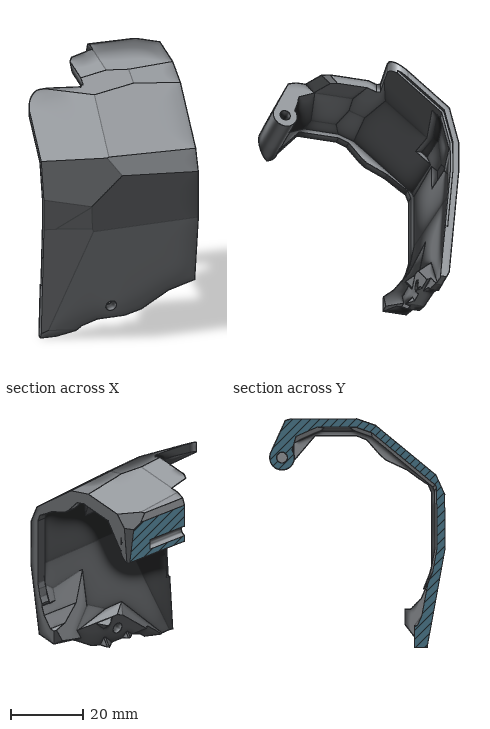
import cadquery as cq
import math

LENGTH_X = 49.47
LENGTH_Y = 44.05
LENGTH_Z = 70.38
HINGE_RADIUS = 3.45
HINGE_BORE = 2.95
HINGE_BORE_DEPTH = 12.0
X_MIN = -HINGE_RADIUS
X_MAX = X_MIN + LENGTH_X
Z_MAX = 11.03
Z_MIN = Z_MAX - LENGTH_Z
Y_FRONT = -LENGTH_Y

WALL = 2.35
BROW_WALL = 1.4
HINGE_LENGTH = 19.7
REAR_RIB_DEPTH = 2.4
FRONT_REBATE_DEPTH = 0.95
FRONT_REBATE_WIDTH = 0.7
FRONT_REBATE_BOTTOM = -43.0
POCKET_DEPTH = 1.1

TAB_FACE_X = 36.75
TAB_FOOT_X = 37.55
TAB_LOW_Z = -55.05
TAB_TOP_Z = -46.85
TAB_TOP_SLOPE = 0.45
TAB_REAR_Y = -9.5
TAB_HOLE_DIAMETER = 3.06
TAB_HOLE_Y = -24.1
TAB_HOLE_Z = -51.2

STOP_X = 34.1
STOP_PEAK = (41.8, -15.75, -31.6)

FAR = 150.0
INSIDE = cq.Vector(20.0, -15.0, -15.0)

CREST_FRONT = (20.0, -HINGE_LENGTH, Z_MAX)
CREST_LEFT = (3.2, -HINGE_LENGTH, Z_MAX)
CREST_REAR = (20.7, -13.4, 10.8)
TOP_REAR = (18.2, 0.0, 10.3)
TOP_NOSE = (21.6, -27.6, 10.4)
SHOULDER_MID = (26.0, -13.4, 8.95)
SHOULDER_FRONT = (28.5, -25.45, 8.06)
BROW_FRONT = (43.45, -25.45, -4.24)
BROW_NOSE = (40.3, Y_FRONT, -4.67)
BROW_REAR = (42.15, 0.0, -5.94)
CHEEK_TOP = (45.55, -22.3, -9.44)
CHEEK_REAR = (44.7, 0.0, -25.35)
CHEEK_FRONT = (X_MAX, -30.9, -25.35)
CHEEK_FRONT_MID = (X_MAX, -30.9, -24.4)
CHEEK_FRONT_HIGH = (X_MAX, -30.9, -17.65)
NOSE_HIGH = (43.0, Y_FRONT, -15.3)
NOSE_LOW = (43.0, Y_FRONT, -25.1)
NOSE_SIDE = (43.62, -41.6, -24.8)
NOSE_BOTTOM = (40.35, Y_FRONT, -56.9)
JAW_FRONT = (40.8, -42.0, -56.6)
JAW_REAR = (40.8, 0.0, -56.6)
JAW_TIP = (39.4, 0.0, Z_MIN)

SHELL_FACETS = [
    (CREST_FRONT, CREST_LEFT, TOP_REAR),
    (CREST_FRONT, CREST_LEFT, TOP_NOSE),
    (CREST_FRONT, CREST_REAR, SHOULDER_FRONT),
    (CREST_REAR, SHOULDER_MID, TOP_REAR),
    (SHOULDER_MID, SHOULDER_FRONT, BROW_FRONT),
    (SHOULDER_FRONT, BROW_FRONT, BROW_NOSE),
    (CHEEK_TOP, CHEEK_REAR, CHEEK_FRONT),
    (CHEEK_FRONT_HIGH, BROW_NOSE, NOSE_HIGH),
    (CHEEK_FRONT_HIGH, NOSE_HIGH, NOSE_SIDE),
    (CHEEK_FRONT_HIGH, CHEEK_FRONT_MID, NOSE_SIDE),
    (CHEEK_FRONT_MID, NOSE_LOW, NOSE_BOTTOM),
    (CHEEK_REAR, CHEEK_FRONT, JAW_FRONT),
]

BROW_FACET = (BROW_FRONT, BROW_REAR, CHEEK_TOP)

ARM_SHOULDER = (0.88, 0.0, 10.3)
ARM_TANGENT = (-3.15, 0.0, 1.41)
ARM_CORNER_LOW = (X_MIN, -5.36, 0.0)
ARM_CORNER_REAR = (1.64, 0.0, 7.26)
ARM_CORNER_FRONT = (-0.8, -2.97, 6.73)
ARM_CORNER_TOP = (4.93, 0.0, 10.3)


def shift_y(point, y):
    """The point moved to another Y."""
    return (point[0], y, point[2])


TRIM_FACETS = [
    BROW_FACET,
    (ARM_TANGENT, ARM_SHOULDER, shift_y(ARM_SHOULDER, Y_FRONT)),
    (ARM_SHOULDER, shift_y(ARM_SHOULDER, Y_FRONT), CREST_LEFT),
    (ARM_CORNER_LOW, ARM_CORNER_REAR, ARM_CORNER_FRONT),
    (ARM_CORNER_REAR, ARM_CORNER_TOP, ARM_CORNER_FRONT),
    (JAW_FRONT, JAW_REAR, JAW_TIP),
]


def box_between(low, high):
    """Box with two opposite corners."""
    size = [end - start for start, end in zip(low, high)]
    return cq.Workplane("XY").box(*size, centered=False).translate(low)


def half_space(facet, inset=0.0, inside=INSIDE):
    """Large block under the plane of a facet, moved by inset towards the inside point."""
    a, b, c = [cq.Vector(*p) for p in facet]
    normal = (b - a).cross(c - a).normalized()
    if normal.dot(inside - a) > 0:
        normal = normal * -1
    plane = cq.Plane(origin=(a - normal * inset).toTuple(), normal=normal.toTuple())
    return cq.Workplane(plane).rect(4 * FAR, 4 * FAR).extrude(-2 * FAR)


def trim(body, facets, inset=0.0, inside=INSIDE):
    """The body cut back to every facet."""
    for facet in facets:
        body = body.intersect(half_space(facet, inset, inside))
    return body


def space(inset):
    """Volume under the facets, set in by inset (the brow facet by its own wall), open elsewhere."""
    block = trim(box_between((-FAR, -FAR, -FAR), (FAR, FAR, FAR)), SHELL_FACETS, inset)
    return trim(block, [BROW_FACET], BROW_WALL)


def along_y(points, y_low, y_high):
    """Prism with an XZ outline between two Y values."""
    return cq.Workplane("XZ", origin=(0, y_high, 0)).polyline(points).close().extrude(y_high - y_low)


def along_x(points, x_low, x_high):
    """Prism with a YZ outline between two X values."""
    return cq.Workplane("YZ", origin=(x_low, 0, 0)).polyline(points).close().extrude(x_high - x_low)


def polyhedron(points, faces):
    """Solid from corner points and lists of corner indices."""
    skins = []
    for face in faces:
        wire = cq.Wire.makePolygon([cq.Vector(*points[i]) for i in face], close=True)
        skins.append(cq.Face.makeFromWires(wire))
    return cq.Workplane(cq.Solid.makeSolid(cq.Shell.makeShell(skins)))


def outer_envelope():
    """Convex faceted outside of the guard, as a full solid."""
    block = box_between((X_MIN, Y_FRONT, Z_MIN), (X_MAX, 0, Z_MAX))
    return trim(block, SHELL_FACETS + TRIM_FACETS)


def front_notch():
    """Open corner beside the nose, in front of the hinge arm."""
    plate_front = -27.5
    plate_end_x = 24.95
    lobe_x = 23.75
    lobe_y = -39.5
    lobe_radius = Y_FRONT - lobe_y
    step = 0.9
    diagonal = math.sqrt(0.5)
    corner_arc = (
        lobe_x - lobe_radius * (1 - diagonal),
        lobe_y + lobe_radius * diagonal,
    )
    return (
        cq.Workplane("XY", origin=(0, 0, -10))
        .moveTo(X_MIN - 1, plate_front)
        .lineTo(plate_end_x - step, plate_front)
        .lineTo(plate_end_x, plate_front - step)
        .lineTo(lobe_x, lobe_y)
        .threePointArc(corner_arc, (lobe_x - lobe_radius, Y_FRONT))
        .lineTo(lobe_x - lobe_radius, Y_FRONT - 1)
        .lineTo(X_MIN - 1, Y_FRONT - 1)
        .close()
        .extrude(Z_MAX + 20)
    )


def plate_side_cut():
    """Leaning cut that ends the top plate in front of the hinge arm."""
    side = ((6.0, -HINGE_LENGTH, 10.9), (8.54, -26.5, 10.4), (8.38, -HINGE_LENGTH, 8.6))
    corner = ((8.54, -26.5, 10.4), (10.7, -27.5, 10.3), (10.6, -26.5, 8.2))
    outside = cq.Vector(X_MIN, Y_FRONT, 0)
    block = box_between((X_MIN - 1, Y_FRONT, -5), (15, -HINGE_LENGTH, Z_MAX + 1))
    return block.intersect(half_space(side, inside=outside).union(half_space(corner, inside=outside)))


def hinge_arm(envelope):
    """Curved arm at the left end with the hinge barrel."""
    web = along_y(
        [
            (-3.15, 1.41), (-6, 14), (6, 14), (6.8, 10.8), (8.4, 8.6), (4.1, 6.7),
            (3.35, 3.8), (2.8, 2.0), (0, 0),
        ],
        -HINGE_LENGTH,
        0,
    )
    barrel = cq.Workplane("XZ").circle(HINGE_RADIUS).extrude(HINGE_LENGTH)
    underside = ((4.1, -HINGE_LENGTH, 6.7), (8.4, -HINGE_LENGTH, 8.6), (7.05, -REAR_RIB_DEPTH, 5.7))
    haunch = box_between((3.2, -HINGE_LENGTH, 2), (14, 0, Z_MAX))
    haunch = haunch.intersect(half_space(underside, inside=cq.Vector(5, -10, Z_MAX)))
    return web.union(barrel).union(haunch).intersect(envelope)


def rear_rib(envelope):
    """Stiffening rib round the inside of the rear edge."""
    opening = along_y(
        [
            (3.2, -1.0), (9.2, 6.05), (20.6, 6.05), (23.5, 4.9), (27.2, 0.7), (28.8, -0.7),
            (34.6, -3.4), (38.5, -6.2), (40.6, -7.6), (41.5, -9.8), (41.5, -30.0),
            (41.05, -31.7), (40.5, -34.1), (39.6, -35.8), (37, -60), (-FAR, -60), (-FAR, -1),
        ],
        -REAR_RIB_DEPTH,
        0,
    )
    slab = box_between((3.2, -REAR_RIB_DEPTH, -36.5), (X_MAX, 0, Z_MAX))
    return slab.cut(opening).intersect(envelope)


def corner_stop(envelope):
    """Solid stop at the lower rear corner, cut off by a leaning front face."""
    profile = [
        (STOP_X, -42.05), (35.7, -42.05), (38.6, -39.1), (STOP_PEAK[0], STOP_PEAK[2]),
        (X_MAX, STOP_PEAK[2]), (X_MAX, -53), (39, -53), (TAB_FACE_X, -49.75), (STOP_X, -46.3),
    ]
    front_face = ((STOP_X, -0.9, -42.05), (38.6, -11.1, -39.1), STOP_PEAK)
    block = along_y(profile, STOP_PEAK[1], 0)
    block = block.intersect(half_space(front_face, inside=cq.Vector(X_MAX, 0, -45)))
    return block.intersect(envelope)


def stop_gusset(envelope):
    """Sloping triangle that joins the stop to the top of the mounting tab."""
    slope = ((40.15, STOP_PEAK[1], -41.6), (37.1, -11.0, -46.3), (39.4, -20.8, -45.4))
    block = box_between((TAB_FACE_X, -22, -47.5), (X_MAX, TAB_REAR_Y, -41.5))
    return block.intersect(half_space(slope, inside=cq.Vector(X_MAX, -16, -50))).intersect(envelope)


def rib_ramp(envelope):
    """Slanted facet from the lower end of the rear rib to the wall."""
    slope = ((41.35, -REAR_RIB_DEPTH, -31.2), (41.1, -5.4, -33.5), (39.7, -4.6, -36.5))
    block = box_between((38, -6, -36.5), (X_MAX, -REAR_RIB_DEPTH, -31))
    return block.intersect(half_space(slope, inside=cq.Vector(X_MAX, 0, -35))).intersect(envelope)


def rear_roof_ramp(envelope):
    """Sloping thickening of the top plate just in front of the rear rib."""
    slope = ((5, -5.2, 8.0), (20, -5.2, 8.0), (5, -REAR_RIB_DEPTH, 7.26))
    block = box_between((5, -6, 7), (21.5, -REAR_RIB_DEPTH, Z_MAX))
    return block.intersect(half_space(slope, inside=cq.Vector(10, -5, Z_MAX))).intersect(envelope)


def mounting_tab(envelope):
    """Flat pad on the lower edge with sloping upper and front flanks."""
    inside = cq.Vector(X_MAX, -18, -55)
    face_corner = (TAB_FACE_X, -25.85, -47.6)
    knee_corner = (TAB_FACE_X, -24, TAB_TOP_Z)
    root_corner = (TAB_FACE_X + 2, -27.1, -46.2)
    top = (
        (TAB_FACE_X, -9, TAB_TOP_Z),
        knee_corner,
        (TAB_FACE_X + 1, -9, TAB_TOP_Z + TAB_TOP_SLOPE),
    )
    knee = (knee_corner, face_corner, root_corner)
    flank = (face_corner, (TAB_FACE_X, -34.1, TAB_LOW_Z), root_corner)
    pad = box_between((TAB_FACE_X, -38, TAB_LOW_Z), (X_MAX, TAB_REAR_Y, -44))
    foot = box_between((TAB_FOOT_X, -43, Z_MIN), (X_MAX, TAB_REAR_Y, -44))
    return trim(pad.union(foot), [top, knee, flank], inside=inside).intersect(envelope)


def wedge(center_y, rear_width, front_width, base_z, apex_z, reach, base_slope=0.0):
    """Gusset on the tab face with a narrow crest, widest at its base."""
    crest = 0.3
    embed = 0.2
    root_x = TAB_FACE_X + embed
    tip_x = TAB_FACE_X - reach
    tip_z = base_z - base_slope * (root_x - tip_x)
    points = [
        (root_x, center_y + rear_width, base_z),
        (root_x, center_y - front_width, base_z),
        (tip_x, center_y - crest, tip_z),
        (tip_x, center_y + crest, tip_z),
        (root_x, center_y - crest, apex_z),
        (root_x, center_y + crest, apex_z),
    ]
    faces = [(0, 1, 2, 3), (0, 5, 4, 1), (1, 4, 2), (2, 4, 5, 3), (0, 3, 5)]
    return polyhedron(points, faces)


def tab_gussets():
    """Two gussets on the lower edge of the tab face and one hanging from its top edge."""
    lower_rear = wedge(-19.6, 2.0, 2.8, TAB_LOW_Z, -52.3, 1.9)
    lower_front = wedge(-27.35, 1.75, 1.95, TAB_LOW_Z, -53.3, 1.2)
    upper = wedge(-19.6, 3.3, 3.1, TAB_TOP_Z, -49.9, 1.9, TAB_TOP_SLOPE)
    return lower_rear.union(lower_front).union(upper)


def brow_pocket():
    """Shallow recess with sloping ends in the inside of the brow and cheek."""
    mouth = [(-17.5, -3.9), (-40.1, -3.9), (-40.1, -15.5), (-17.5, -15.5)]
    rear_end = ((42.95, -17.5, 0), (42.95, -17.5, -10), (44.05, -19.2, 0))
    front_end = ((39.95, -40.1, -10), (42.5, -40.1, -20), (41.4, -38.4, -10))
    cheek_sill = ((42.95, -17.5, -15.5), (43.35, -28, -15.5), (44.05, -17.5, -13.4))
    nose_sill = ((41.35, -40.1, -15.5), (43.0, -30, -15.5), (44.1, -30, -13.4))
    prism = along_x(mouth, 30, X_MAX).intersect(space(WALL - POCKET_DEPTH))
    return trim(prism, [rear_end, front_end, cheek_sill, nose_sill], inside=cq.Vector(40, -28, -10))


def front_rebate():
    """Step along the inner edge of the nose, open to the front."""
    depth_y = Y_FRONT + FRONT_REBATE_DEPTH
    slab = box_between((25, Y_FRONT, FRONT_REBATE_BOTTOM), (X_MAX, depth_y, Z_MAX))
    return slab.intersect(space(WALL - FRONT_REBATE_WIDTH))


def lower_edge_cut():
    """Everything below the stepped lower edge."""
    edge = [
        (1, -46.05), (0, -46.3), (-7.5, -48.6), (-15.2, -53.7), (-20, -55.05), (-28, -55.05),
        (-32.5, -56.6), (-34.1, -58), (-39.5, Z_MIN), (-39.5, Z_MIN - 5), (1, Z_MIN - 5),
    ]
    return along_x(edge, 0, X_MAX + 1)


def hinge_bore():
    """Blind bore in the front end of the hinge barrel."""
    front = cq.Workplane("XZ", origin=(0, -HINGE_LENGTH, 0))
    return front.circle(HINGE_BORE / 2).extrude(-HINGE_BORE_DEPTH)


def tab_hole():
    """Screw hole through the mounting tab and the wall behind it."""
    plane = cq.Workplane("YZ", origin=(0, TAB_HOLE_Y, TAB_HOLE_Z))
    return plane.circle(TAB_HOLE_DIAMETER / 2).extrude(FAR)


envelope = outer_envelope()
body = envelope.cut(space(WALL)).cut(front_notch()).cut(plate_side_cut())
body = body.cut(brow_pocket()).cut(front_rebate())
for feature in (
    hinge_arm, rear_rib, rear_roof_ramp, rib_ramp, corner_stop, stop_gusset, mounting_tab,
):
    body = body.union(feature(envelope))
body = body.union(tab_gussets()).cut(lower_edge_cut())

result = body.cut(hinge_bore()).cut(tab_hole())